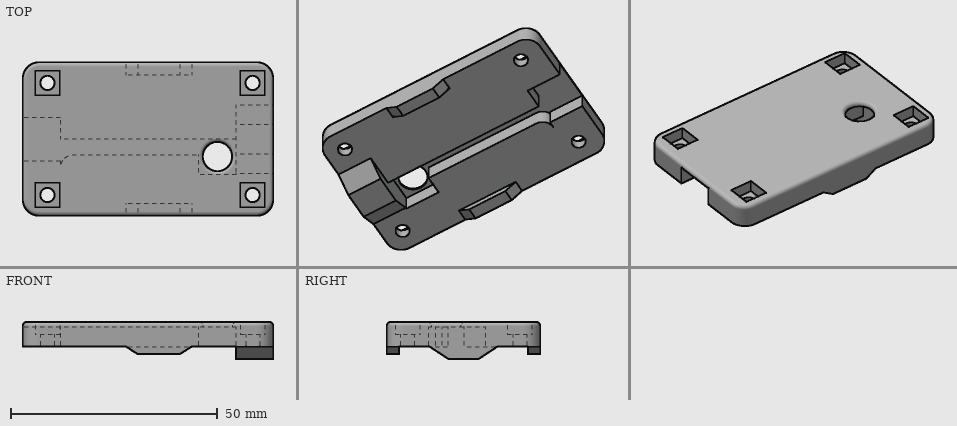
import cadquery as cq

length = 60.6
width = 37.15
plate_height = 6.0
corner_radius = 4.0
edge_radius = 1.0

recess_size = 6.0
recess_depth = 3.0
screw_diameter = 3.4
left_screw_x = -length / 2 + 6.0
right_screw_x = length / 2 - 5.0
screw_y = width / 2 - 5.0

cable_hole_diameter = 7.0
cable_hole_rim_radius = 0.95
cable_hole_x = 16.8
cable_hole_y = -4.25

side_rail_thickness = 3.0
side_rail_drop = 1.8
side_rail_x = 2.6
side_rail_root = 16.0
side_rail_foot = 10.2
end_rail_thickness = 9.1
end_rail_drop = 3.0
end_rail_root = 16.5
end_rail_foot = 7.2

roof_thickness = 1.2
passage_depth = plate_height - roof_thickness
entry_width = 10.55
entry_depth = 9.1
channel_min_y = -3.8
channel_max_y = 0.05
channel_lead_in_radius = 3.0
chamber_length = 9.1
passage_end_x = length / 2 - end_rail_thickness


def make_plate():
    plate = cq.Workplane("XY").box(length, width, plate_height, centered=(True, True, False))
    plate = plate.translate((0, 0, -plate_height))
    return plate.edges("|Z").fillet(corner_radius).faces(">Z").edges().fillet(edge_radius)


def make_rail(root, foot, drop, thickness):
    """Trapezoid hanging below the plate, long along X, centred on Y."""
    profile = [
        (-root / 2, -plate_height),
        (root / 2, -plate_height),
        (foot / 2, -plate_height - drop),
        (-foot / 2, -plate_height - drop),
    ]
    return cq.Workplane("XZ").polyline(profile).close().extrude(thickness / 2, both=True)


def add_rails(body):
    side_rail = make_rail(side_rail_root, side_rail_foot, side_rail_drop, side_rail_thickness)
    for side in (-1, 1):
        rail_y = side * (width - side_rail_thickness) / 2
        body = body.union(side_rail.translate((side_rail_x, rail_y, 0)))
    end_rail = make_rail(end_rail_root, end_rail_foot, end_rail_drop, end_rail_thickness)
    end_rail = end_rail.rotate((0, 0, 0), (0, 0, 1), 90)
    return body.union(end_rail.translate(((length - end_rail_thickness) / 2, 0, 0)))


def cut_screw_holes(body):
    centers = [(x, y) for x in (left_screw_x, right_screw_x) for y in (-screw_y, screw_y)]
    layout = cq.Workplane("XY").pushPoints(centers)
    recesses = layout.rect(recess_size, recess_size).extrude(-recess_depth)
    holes = layout.circle(screw_diameter / 2).extrude(-plate_height)
    return body.cut(recesses).cut(holes)


def passage_block(min_x, max_x, min_y, max_y):
    block = cq.Workplane("XY", origin=(min_x, min_y, -plate_height))
    return block.box(max_x - min_x, max_y - min_y, passage_depth, centered=False)


def cut_passage(body):
    entry_end_x = -length / 2 + entry_depth
    entry = passage_block(-length / 2, entry_end_x, -entry_width / 2, entry_width / 2)
    channel = passage_block(entry_end_x, passage_end_x, channel_min_y, channel_max_y)

    chamber_min_y = 2 * cable_hole_y - channel_max_y
    chamber = passage_block(passage_end_x - chamber_length, passage_end_x, chamber_min_y, channel_max_y)

    lead_in = (
        cq.Workplane("XY", origin=(0, 0, -plate_height))
        .moveTo(entry_end_x, channel_min_y)
        .lineTo(entry_end_x, channel_min_y - channel_lead_in_radius)
        .radiusArc((entry_end_x + channel_lead_in_radius, channel_min_y), channel_lead_in_radius)
        .close()
        .extrude(passage_depth)
    )
    return body.cut(entry).cut(channel).cut(chamber).cut(lead_in)


def cut_cable_hole(body):
    radius = cable_hole_diameter / 2
    rim = cable_hole_rim_radius
    cutter = (
        cq.Workplane("XZ")
        .lineTo(radius + rim, 0)
        .radiusArc((radius, -rim), -rim)
        .lineTo(radius, -plate_height)
        .lineTo(0, -plate_height)
        .close()
        .revolve(360, (0, 0, 0), (0, 1, 0))
    )
    return body.cut(cutter.translate((cable_hole_x, cable_hole_y, 0)))


result = add_rails(make_plate())
result = cut_screw_holes(result)
result = cut_passage(result)
result = cut_cable_hole(result)